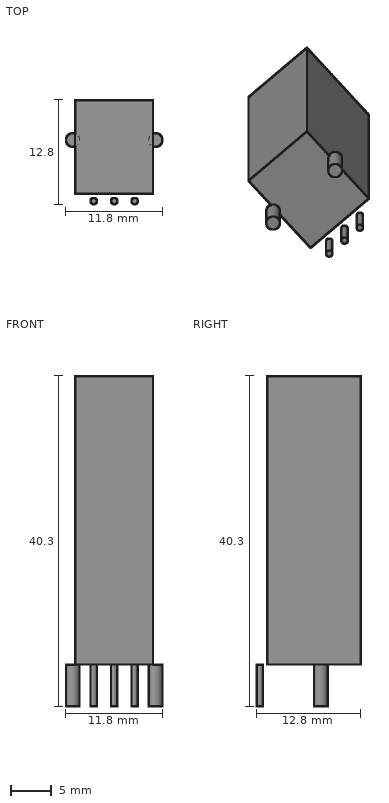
import cadquery as cq

total_width = 11.8
total_depth = 12.75
total_height = 40.3

leg_length = 5.08
peg_diameter = 1.7
peg_count = 2
pin_diameter = 0.8
pin_count = 3
pin_pitch = 2.5

block_width = 9.5
block_depth = 11.45
block_height = total_height - leg_length

peg_y = 6.55
pin_y = block_depth - total_depth + pin_diameter / 2

peg_spacing = total_width - peg_diameter


def make_block():
    """Plain block standing on the plane of the leg tops (Z = 0)."""
    return cq.Workplane("XY").box(
        block_width, block_depth, block_height, centered=(True, False, False)
    )


def make_leg(diameter, x, y):
    """Round leg reaching down from Z = 0."""
    return cq.Workplane("XY").center(x, y).circle(diameter / 2).extrude(-leg_length)


def make_row(diameter, count, spacing, y):
    """Row of separate equal legs, centred on X = 0."""
    first_x = -spacing * (count - 1) / 2
    return [make_leg(diameter, first_x + i * spacing, y).val() for i in range(count)]


block = make_block()
pegs = make_row(peg_diameter, peg_count, peg_spacing, peg_y)
pins = make_row(pin_diameter, pin_count, pin_pitch, pin_y)

result = cq.Compound.makeCompound([block.val(), *pegs, *pins])